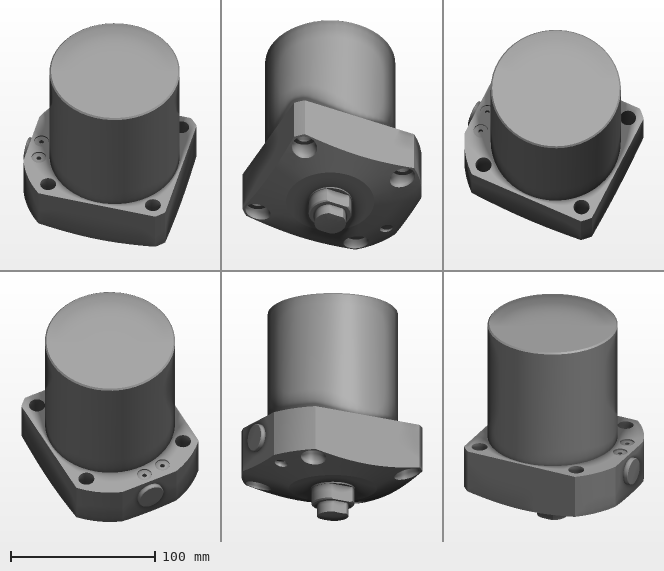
import cadquery as cq
import math

total_height = 149.0
flange_top = 61.0
flange_bottom = 21.0
collar_bottom = 20.0
shank_bottom = 9.0

flange_half_width = 47.5
flange_left = 59.7
flange_corner_radius = 63.3
flange_base_radius = 30.5
flange_taper_angle = 15.0

mount_hole_offset = 37.5
mount_hole_diameter = 11.0
counterbore_diameter = 17.6
counterbore_top = 37.2

port_circle_radius = 52.5
port_side_offset = 15.0
port_recess_diameter = 10.1
port_recess_depth = 1.0
port_bore_diameter = 3.3
port_bore_depth = 3.0
drain_diameter = 9.1
drain_top = 29.8

cover_diameter = 90.1
cover_chamfer = 1.0

plug_diameter = 19.0
plug_length = 3.3
plug_chamfer = 0.5
plug_height = 48.0

collar_diameter = 30.7
shank_diameter = 29.8
shank_flat_width = 24.6
shank_chamfer = 0.9
tip_diameter = 21.8
tip_flat_width = 19.0
tip_crown_height = 0.9


def vertical_cylinder(diameter, bottom, top):
    """Cylinder on the Z axis between two heights."""
    return cq.Workplane("XY").workplane(offset=bottom).circle(diameter / 2).extrude(top - bottom)


def flatten_sides(body, width):
    """Cut two flats, facing +Y and -Y, that leave the body the given width."""
    box = body.val().BoundingBox()
    slab = cq.Workplane("XY").box(box.xlen, width, box.zlen).translate(box.center)
    return body.intersect(slab)


def flange_blank():
    """Rectangle trimmed to a round outline, with a conical underside."""
    blank = (
        cq.Workplane("XY")
        .workplane(offset=flange_bottom)
        .center((flange_half_width - flange_left) / 2, 0)
        .rect(flange_half_width + flange_left, 2 * flange_half_width)
        .extrude(flange_top - flange_bottom)
    )
    taper_run = flange_corner_radius - flange_base_radius
    taper_top = flange_bottom + taper_run * math.tan(math.radians(flange_taper_angle))
    round_envelope = (
        cq.Workplane("XZ")
        .moveTo(0, flange_bottom)
        .lineTo(flange_base_radius, flange_bottom)
        .lineTo(flange_corner_radius, taper_top)
        .lineTo(flange_corner_radius, flange_top)
        .lineTo(0, flange_top)
        .close()
        .revolve(360, (0, 0, 0), (0, 1, 0))
    )
    return blank.intersect(round_envelope)


def make_flange():
    """Flange with counterbored mounting holes, two top ports and a drain recess under one port."""
    flange = flange_blank()
    for x_side in (-1, 1):
        for y_side in (-1, 1):
            corner = (x_side * mount_hole_offset, y_side * mount_hole_offset, 0)
            hole = vertical_cylinder(mount_hole_diameter, flange_bottom, flange_top)
            counterbore = vertical_cylinder(counterbore_diameter, flange_bottom, counterbore_top)
            flange = flange.cut(hole.translate(corner)).cut(counterbore.translate(corner))

    side_port_x = -math.sqrt(port_circle_radius**2 - port_side_offset**2)
    side_port = (side_port_x, -port_side_offset, 0)
    recess_floor = flange_top - port_recess_depth
    for port in [(-port_circle_radius, 0, 0), side_port]:
        recess = vertical_cylinder(port_recess_diameter, recess_floor, flange_top)
        bore = vertical_cylinder(port_bore_diameter, recess_floor - port_bore_depth, recess_floor)
        flange = flange.cut(recess.translate(port)).cut(bore.translate(port))

    drain = vertical_cylinder(drain_diameter, flange_bottom, drain_top)
    return flange.cut(drain.translate(side_port))


def make_cover():
    """Cylindrical cover standing on the flange, chamfered at the top."""
    cover = vertical_cylinder(cover_diameter, flange_top, total_height)
    return cover.faces(">Z").chamfer(cover_chamfer)


def make_plug():
    """Round plug on the -X face of the flange."""
    plug = (
        cq.Workplane("YZ")
        .workplane(offset=-flange_left)
        .center(0, plug_height)
        .circle(plug_diameter / 2)
        .extrude(-plug_length)
    )
    return plug.faces("<X").chamfer(plug_chamfer)


def crowned_tip():
    """Round tip whose lower end is a shallow spherical crown."""
    radius = tip_diameter / 2
    crown_radius = (radius**2 + tip_crown_height**2) / (2 * tip_crown_height)
    half_radius = radius / 2
    half_radius_height = crown_radius - math.sqrt(crown_radius**2 - half_radius**2)
    return (
        cq.Workplane("XZ")
        .moveTo(0, shank_bottom)
        .lineTo(0, 0)
        .threePointArc((half_radius, half_radius_height), (radius, tip_crown_height))
        .lineTo(radius, shank_bottom)
        .close()
        .revolve(360, (0, 0, 0), (0, 1, 0))
    )


def make_stud():
    """Collar, shank and tip; the shank and the tip each carry a pair of flats."""
    collar = vertical_cylinder(collar_diameter, collar_bottom, flange_bottom)

    shank = vertical_cylinder(shank_diameter, shank_bottom, collar_bottom)
    shank = flatten_sides(shank.faces("<Z").chamfer(shank_chamfer), shank_flat_width)

    tip = flatten_sides(crowned_tip(), tip_flat_width)
    return collar.union(shank).union(tip)


flange = make_flange()
cover = make_cover()
plug = make_plug()
stud = make_stud()

result = cq.Compound.makeCompound([flange.val(), cover.val(), plug.val(), stud.val()])